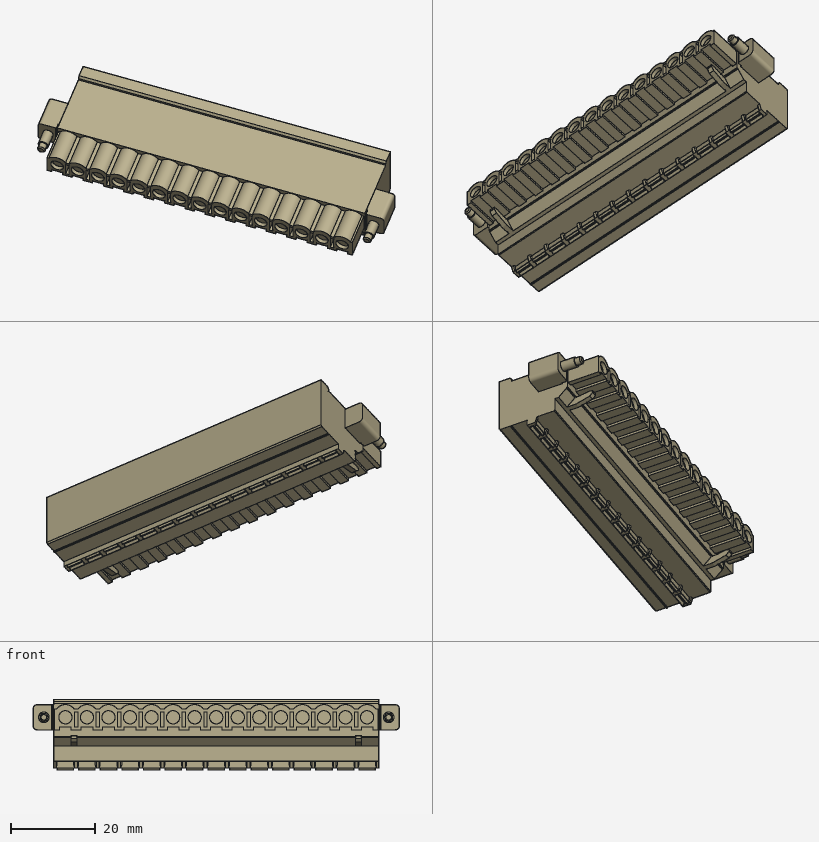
import cadquery as cq


POLE_COUNT = 15
PITCH = 5.08
ROW_LENGTH = POLE_COUNT * PITCH
POLE_POSITIONS = [(i - (POLE_COUNT - 1) / 2) * PITCH for i in range(POLE_COUNT)]
GAP_POSITIONS = [x + PITCH / 2 for x in POLE_POSITIONS[:-1]]

TOTAL_LENGTH = ROW_LENGTH + 2 * PITCH
TOTAL_DEPTH = 26.6
TOTAL_HEIGHT = 16.71

END_WALL = 0.25
HOUSING_LENGTH = ROW_LENGTH + 2 * END_WALL
HOUSING_DEPTH = 18.4
HOUSING_BACK = HOUSING_DEPTH
RIDGE_TOP = 4.25
RIDGE_HEIGHT = 1.04
RIDGE_DEPTH = 3.4
RIDGE_CHAMFER = 0.5
HOUSING_TOP = RIDGE_TOP - RIDGE_HEIGHT
HOUSING_BOTTOM = -10.45
BACK_CHAMFER = 0.35
FRONT_LIP = 0.3
FRONT_LIP_BOTTOM = -4.55
FRONT_LIP_STEP = 0.25
UNDERCUT_TOP = -6.8
UNDERCUT_SLOPE_END = 2.4
LOWER_FRONT = 3.4
LOWER_FRONT_CHAMFER = 0.2

BEAD_FROM_BACK = 3.1
BEAD_WIDTH = 0.3
BEAD_HEIGHT = 0.25

UNDERSIDE = RIDGE_TOP - TOTAL_HEIGHT
FOOT_FROM_BACK = 7.55
FOOT_BACK = HOUSING_BACK - FOOT_FROM_BACK
FOOT_DEPTH = 2.1
FOOT_FRONT = FOOT_BACK - FOOT_DEPTH
FOOT_WIDTH = 3.9
FOOT_BELOW_RAIL = 0.5
RAIL_BOTTOM = UNDERSIDE + FOOT_BELOW_RAIL
RIB_PROJECTION = 0.55
RIB_FRONT = FOOT_FRONT - RIB_PROJECTION
RIB_WIDTH = PITCH - FOOT_WIDTH
RIB_CHAMFER = 0.25
FOOT_BACK_TAPER = 0.3
FOOT_FRONT_TAPER = 0.4
FOOT_TIP_BACK = FOOT_BACK - FOOT_BACK_TAPER
FOOT_TIP_FRONT = FOOT_FRONT + FOOT_FRONT_TAPER
FOOT_TIP_HEIGHT = 0.65
FOOT_NOTCH_DEPTH = 0.55
FOOT_NOTCH_HALF_WIDTH = 0.6

SOCKET_LENGTH = TOTAL_DEPTH - HOUSING_DEPTH
SOCKET_TOP = 3.0
SOCKET_BOTTOM = -3.0
SHOULDER_HEIGHT = 1.95
SHOULDER_WIDTH = 0.92
CONTACT_DIAMETER = 3.12
CONTACT_DEPTH = 1.0
SLOT_WIDTH = 0.8
SLOT_TOP = 1.25
SLOT_BOTTOM = -2.25
KEYWAY_WIDTH = 2.75
KEYWAY_DEPTH = 0.72

FLANGE_DEPTH = 7.8
FLANGE_HEIGHT = SOCKET_TOP - SOCKET_BOTTOM
FLANGE_CORNER = 1.0
FLANGE_LENGTH = (TOTAL_LENGTH - HOUSING_LENGTH) / 2
RELIEF_WIDTH = 0.25
RELIEF_MOUTH_CHAMFER = 0.25
RELIEF_DEPTH = 1.3

SCREW_X = ROW_LENGTH / 2 + PITCH / 2
SHANK_DIAMETER = 2.5
SHANK_LENGTH = 3.6
TIP_DIAMETER = 1.9
TIP_LENGTH = 1.65
TIP_CHAMFER = 0.3

LEVER_X = 33.55
LEVER_WIDTH = 1.35
LEVER_REACH = 4.5
LEVER_ROOT = 1.0
LEVER_ROOT_TOP = -4.7
LEVER_CREST = (-3.5, -4.3)
LEVER_TIP_TOP = -4.45
LEVER_TIP_BOTTOM = -5.0
LEVER_BELLY = (-3.7, -5.85)


def extrude_along_x(outline, length, x_centre=0.0):
    """Extrude a closed (y, z) outline along X, centred on x_centre."""
    start = x_centre - length / 2
    return cq.Workplane("YZ").workplane(offset=start).polyline(outline).close().extrude(length)


def box_between(x_range, y_range, z_range):
    """Box spanning the given coordinate ranges."""
    x0, x1 = x_range
    y0, y1 = y_range
    z0, z1 = z_range
    return cq.Workplane("XY").box(x1 - x0, y1 - y0, z1 - z0, centered=False).translate((x0, y0, z0))


def make_housing():
    """Main housing with the rear ridge on top and the undercut front."""
    ridge_front = HOUSING_BACK - RIDGE_DEPTH
    outline = [
        (HOUSING_BACK, RIDGE_TOP),
        (ridge_front + RIDGE_CHAMFER, RIDGE_TOP),
        (ridge_front, RIDGE_TOP - RIDGE_CHAMFER),
        (ridge_front, HOUSING_TOP),
        (0, HOUSING_TOP),
        (0, FRONT_LIP_BOTTOM),
        (FRONT_LIP, FRONT_LIP_BOTTOM),
        (FRONT_LIP, FRONT_LIP_BOTTOM - FRONT_LIP_STEP),
        (UNDERCUT_SLOPE_END, UNDERCUT_TOP),
        (LOWER_FRONT, UNDERCUT_TOP),
        (LOWER_FRONT, HOUSING_BOTTOM + LOWER_FRONT_CHAMFER),
        (LOWER_FRONT + LOWER_FRONT_CHAMFER, HOUSING_BOTTOM),
        (HOUSING_BACK - BACK_CHAMFER, HOUSING_BOTTOM),
        (HOUSING_BACK, HOUSING_BOTTOM + BACK_CHAMFER),
    ]
    return extrude_along_x(outline, HOUSING_LENGTH)


def make_bead():
    """Square bead along the underside of the housing."""
    back = HOUSING_BACK - BEAD_FROM_BACK
    return box_between(
        (-HOUSING_LENGTH / 2, HOUSING_LENGTH / 2),
        (back - BEAD_WIDTH, back),
        (HOUSING_BOTTOM - BEAD_HEIGHT, HOUSING_BOTTOM),
    )


def make_foot_rail():
    """Rail joining the feet, with a sloping, chamfered rib beside each end of every foot."""
    core = box_between(
        (-HOUSING_LENGTH / 2, HOUSING_LENGTH / 2),
        (FOOT_FRONT, FOOT_BACK),
        (RAIL_BOTTOM, HOUSING_BOTTOM),
    )
    rib_outline = [
        (FOOT_BACK, HOUSING_BOTTOM),
        (FOOT_BACK, RAIL_BOTTOM),
        (FOOT_FRONT, RAIL_BOTTOM),
        (RIB_FRONT, HOUSING_BOTTOM),
    ]
    rib = extrude_along_x(rib_outline, RIB_WIDTH)
    rib = rib.faces("<Y").edges("not |X").chamfer(RIB_CHAMFER)
    ribs = rib.translate((-ROW_LENGTH / 2, 0, 0))
    for i in range(1, POLE_COUNT + 1):
        ribs = ribs.union(rib.translate((i * PITCH - ROW_LENGTH / 2, 0, 0)))
    within_housing = box_between(
        (-HOUSING_LENGTH / 2, HOUSING_LENGTH / 2),
        (0, HOUSING_DEPTH),
        (UNDERSIDE, HOUSING_BOTTOM),
    )
    return core.union(ribs.intersect(within_housing))


def make_foot(x):
    """Foot under one pole, ending in two teeth with a V notch between them."""
    tip_top = UNDERSIDE + FOOT_TIP_HEIGHT
    notch_centre = (FOOT_TIP_BACK + FOOT_TIP_FRONT) / 2
    outline = [
        (FOOT_BACK, HOUSING_BOTTOM),
        (FOOT_BACK, tip_top),
        (FOOT_TIP_BACK, UNDERSIDE),
        (notch_centre + FOOT_NOTCH_HALF_WIDTH, UNDERSIDE),
        (notch_centre, UNDERSIDE + FOOT_NOTCH_DEPTH),
        (notch_centre - FOOT_NOTCH_HALF_WIDTH, UNDERSIDE),
        (FOOT_TIP_FRONT, UNDERSIDE),
        (FOOT_FRONT, tip_top),
        (FOOT_FRONT, HOUSING_BOTTOM),
    ]
    return extrude_along_x(outline, FOOT_WIDTH, x)


def make_socket_row():
    """Row of sockets, each with an arched top between flat shoulders."""
    arch_half_width = (PITCH - SHOULDER_WIDTH) / 2
    profile = cq.Workplane("XZ").moveTo(-ROW_LENGTH / 2, SOCKET_BOTTOM)
    profile = profile.lineTo(-ROW_LENGTH / 2, SHOULDER_HEIGHT)
    for x in POLE_POSITIONS:
        profile = profile.lineTo(x - arch_half_width, SHOULDER_HEIGHT)
        profile = profile.threePointArc((x, SOCKET_TOP), (x + arch_half_width, SHOULDER_HEIGHT))
    profile = profile.lineTo(ROW_LENGTH / 2, SHOULDER_HEIGHT)
    profile = profile.lineTo(ROW_LENGTH / 2, SOCKET_BOTTOM)
    return profile.close().extrude(SOCKET_LENGTH)


def cut_sockets(body):
    """Cut the contact openings, the slots between sockets and the keyways below them."""
    contacts = (
        cq.Workplane("XZ", origin=(0, -SOCKET_LENGTH + CONTACT_DEPTH, 0))
        .pushPoints([(x, 0) for x in POLE_POSITIONS])
        .circle(CONTACT_DIAMETER / 2)
        .extrude(CONTACT_DEPTH)
    )
    slots = (
        cq.Workplane("XZ")
        .pushPoints([(x, (SLOT_TOP + SLOT_BOTTOM) / 2) for x in GAP_POSITIONS])
        .rect(SLOT_WIDTH, SLOT_TOP - SLOT_BOTTOM)
        .extrude(SOCKET_LENGTH)
    )
    keyways = (
        cq.Workplane("XZ")
        .pushPoints([(x, SOCKET_BOTTOM + KEYWAY_DEPTH / 2) for x in POLE_POSITIONS])
        .rect(KEYWAY_WIDTH, KEYWAY_DEPTH)
        .extrude(SOCKET_LENGTH)
    )
    return body.cut(contacts).cut(slots).cut(keyways)


def make_left_flange():
    """Flange with rounded outer edges and a relief where its front meets the housing."""
    inner = -HOUSING_LENGTH / 2
    outer = inner - FLANGE_LENGTH
    flange = box_between((outer, inner), (0, FLANGE_DEPTH), (SOCKET_BOTTOM, SOCKET_TOP))
    flange = flange.edges("|Y and <X").fillet(FLANGE_CORNER)
    relief = (
        cq.Workplane("XY", origin=(0, 0, SOCKET_BOTTOM))
        .moveTo(inner, 0)
        .lineTo(inner - RELIEF_WIDTH - RELIEF_MOUTH_CHAMFER, 0)
        .lineTo(inner - RELIEF_WIDTH, RELIEF_MOUTH_CHAMFER)
        .lineTo(inner - RELIEF_WIDTH, RELIEF_DEPTH)
        .lineTo(inner, RELIEF_DEPTH)
        .close()
        .extrude(FLANGE_HEIGHT)
    )
    return flange.cut(relief)


def make_left_screw():
    """Screw shank with a stepped, chamfered tip, standing on the front of the flange."""
    shank = cq.Workplane("XZ").center(-SCREW_X, 0).circle(SHANK_DIAMETER / 2).extrude(SHANK_LENGTH)
    tip = (
        cq.Workplane("XZ", origin=(0, -SHANK_LENGTH, 0))
        .center(-SCREW_X, 0)
        .circle(TIP_DIAMETER / 2)
        .extrude(TIP_LENGTH)
        .faces("<Y")
        .chamfer(TIP_CHAMFER)
    )
    return shank.union(tip)


def make_left_lever():
    """Release lever reaching forward from the undercut."""
    outline = [
        (UNDERCUT_SLOPE_END, UNDERCUT_TOP),
        (FRONT_LIP, FRONT_LIP_BOTTOM - FRONT_LIP_STEP),
        (FRONT_LIP, FRONT_LIP_BOTTOM),
        (0, FRONT_LIP_BOTTOM),
        (0, LEVER_ROOT_TOP),
        (-LEVER_ROOT, LEVER_ROOT_TOP),
        LEVER_CREST,
        (-LEVER_REACH, LEVER_TIP_TOP),
        (-LEVER_REACH, LEVER_TIP_BOTTOM),
        LEVER_BELLY,
        (0, UNDERCUT_TOP),
    ]
    return extrude_along_x(outline, LEVER_WIDTH, -LEVER_X)


def with_mirror(shape):
    """The shape together with its mirror image across the YZ plane."""
    return shape.union(shape.mirror("YZ"))


body = make_housing().union(make_bead()).union(make_foot_rail())
for pole_x in POLE_POSITIONS:
    body = body.union(make_foot(pole_x))
body = cut_sockets(body.union(make_socket_row()))
for left_feature in (make_left_flange(), make_left_screw(), make_left_lever()):
    body = body.union(with_mirror(left_feature))
result = body